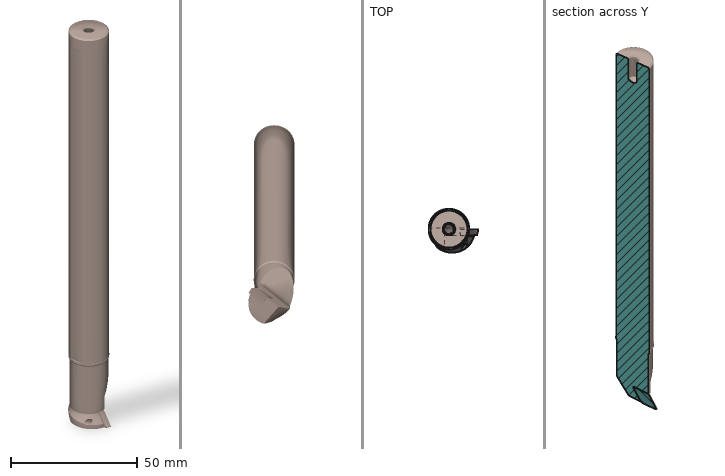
import cadquery as cq
import math


TOTAL_LENGTH = 180.0
SHANK_DIAMETER = 16.0
SHANK_RADIUS = SHANK_DIAMETER / 2
END_CHAMFER_WIDTH = 0.7
END_CHAMFER_HEIGHT = 0.5
FLAT_WIDTH = 5.5
FLAT_TOP_GAP = 5.2
SHANK_BOTTOM_Z = 29.5

BORE_DIAMETER = 4.0
BORE_DEPTH = 10.8
BORE_MOUTH_CHAMFER = 0.5
DRILL_POINT_ANGLE = 118.0

COLLAR_DIAMETER = 16.2
COLLAR_RADIUS = COLLAR_DIAMETER / 2
COLLAR_BOTTOM_Z = 28.6
NECK_RADIUS = 7.7
NECK_CHAMFER_HEIGHT = 0.5
NECK_CHAMFER_BOTTOM_Z = COLLAR_BOTTOM_Z - NECK_CHAMFER_HEIGHT

FLARE_TOP_Z = 6.1
FLARE_ANGLE = 33.0
HEAD_RADIUS = 9.0
HEAD_CENTER_X = 1.3
HEAD_CENTER_Y = -0.4

FACE_Y = 0.5
FACE_SLOPE_ANGLE = 30.0
FACE_SLOPE_BOTTOM_Z = 12.0
HEEL_X = -1.8
HEEL_Z = 0.9
HEEL_ANGLE = 53.0
FLANK_SETBACK = 0.7

INSERT_ANGLE = 55.0
INSERT_SIDE = 7.7
INSERT_THICKNESS = 2.3
INSERT_RELIEF_ANGLE = 7.0
NOSE_RADIUS = 0.4
NOSE_RIGHT_X = 11.7
END_EDGE_TILT = 3.0
SCREW_HOLE_DIAMETER = 2.2

END_SETBACK = INSERT_THICKNESS * math.tan(math.radians(INSERT_RELIEF_ANGLE))

CUT_SIZE = 54.0


def tilted(x, z, angle, length):
    """Point at a distance from (x, z), with the angle counted from -X toward +Z."""
    turn = math.radians(angle)
    return (x - length * math.cos(turn), z + length * math.sin(turn))


def xz_prism(points, y_from, y_to):
    """Prism along Y over an outline of (x, z) points."""
    outline = cq.Workplane("XZ", origin=(0, y_to, 0)).polyline(points).close()
    return outline.extrude(y_to - y_from)


TIP_X, TIP_Z = tilted(
    NOSE_RIGHT_X - NOSE_RADIUS,
    NOSE_RADIUS,
    END_EDGE_TILT + INSERT_ANGLE / 2,
    -NOSE_RADIUS / math.sin(math.radians(INSERT_ANGLE / 2)),
)


def make_insert_outline():
    """Rhombus corners in (x, z): tip, end corner, far corner, flank corner."""
    end_corner = tilted(TIP_X, TIP_Z, END_EDGE_TILT, INSERT_SIDE)
    flank_corner = tilted(TIP_X, TIP_Z, END_EDGE_TILT + INSERT_ANGLE, INSERT_SIDE)
    far_corner = tilted(*end_corner, END_EDGE_TILT + INSERT_ANGLE, INSERT_SIDE)
    return [(TIP_X, TIP_Z), end_corner, far_corner, flank_corner]


INSERT_OUTLINE = make_insert_outline()


def make_insert():
    """Rhombus whose top lies at y = 0 and whose sides draw in toward -Y."""
    plate = cq.Workplane("XZ").polyline(INSERT_OUTLINE).close()
    plate = plate.extrude(INSERT_THICKNESS, taper=INSERT_RELIEF_ANGLE)
    nose_edge = plate.faces("<Z").edges(">X")
    return nose_edge.fillet(NOSE_RADIUS)


def make_shank():
    """Cylinder with a chamfered top end."""
    length = TOTAL_LENGTH - SHANK_BOTTOM_Z
    shank = cq.Workplane(origin=(0, 0, SHANK_BOTTOM_Z)).circle(SHANK_RADIUS).extrude(length)
    return shank.faces(">Z").chamfer(END_CHAMFER_HEIGHT, END_CHAMFER_WIDTH)


def make_flat_cut():
    """Block that leaves a clamping flat on the -Y side of the shank."""
    flat_y = -math.sqrt(SHANK_RADIUS**2 - (FLAT_WIDTH / 2) ** 2)
    flat_top_z = TOTAL_LENGTH - FLAT_TOP_GAP
    corners = [
        (-SHANK_RADIUS, SHANK_BOTTOM_Z),
        (SHANK_RADIUS, SHANK_BOTTOM_Z),
        (SHANK_RADIUS, flat_top_z),
        (-SHANK_RADIUS, flat_top_z),
    ]
    return xz_prism(corners, -CUT_SIZE, flat_y)


def make_bore():
    """Drilled bore with a cone at its floor and a chamfered mouth."""
    radius = BORE_DIAMETER / 2
    point_height = radius / math.tan(math.radians(DRILL_POINT_ANGLE / 2))
    floor_z = TOTAL_LENGTH - BORE_DEPTH
    profile = [
        (0, TOTAL_LENGTH),
        (radius + BORE_MOUTH_CHAMFER, TOTAL_LENGTH),
        (radius, TOTAL_LENGTH - BORE_MOUTH_CHAMFER),
        (radius, floor_z),
        (0, floor_z - point_height),
    ]
    return cq.Workplane("XZ").polyline(profile).close().revolve(360, (0, 0), (0, 1))


def make_neck():
    """Neck and the collar above it."""
    profile = [
        (0, 0),
        (NECK_RADIUS, 0),
        (NECK_RADIUS, NECK_CHAMFER_BOTTOM_Z),
        (COLLAR_RADIUS, COLLAR_BOTTOM_Z),
        (COLLAR_RADIUS, SHANK_BOTTOM_Z),
        (0, SHANK_BOTTOM_Z),
    ]
    return cq.Workplane("XZ").polyline(profile).close().revolve(360, (0, 0), (0, 1))


def make_flank_cut():
    """Everything outside a line set back from the insert's flank edge."""
    edge_angle = END_EDGE_TILT + INSERT_ANGLE
    start_x = TIP_X - FLANK_SETBACK / math.sin(math.radians(edge_angle))
    low = tilted(start_x, TIP_Z, edge_angle, -CUT_SIZE)
    high = tilted(start_x, TIP_Z, edge_angle, CUT_SIZE)
    return xz_prism([low, high, (low[0], high[1])], -CUT_SIZE, CUT_SIZE)


def make_flare():
    """Cone that widens downward from the neck, trimmed by an offset cylinder and the flank."""
    bottom_radius = NECK_RADIUS + FLARE_TOP_Z * math.tan(math.radians(FLARE_ANGLE))
    profile = [(0, 0), (bottom_radius, 0), (NECK_RADIUS, FLARE_TOP_Z), (0, FLARE_TOP_Z)]
    cone = cq.Workplane("XZ").polyline(profile).close().revolve(360, (0, 0), (0, 1))
    trim = cq.Workplane().center(HEAD_CENTER_X, HEAD_CENTER_Y).circle(HEAD_RADIUS).extrude(FLARE_TOP_Z)
    return cone.intersect(trim).cut(make_flank_cut())


def make_face_cut():
    """Clears the +Y half of the head: a flat face that slopes out to the neck."""
    slope_height = CUT_SIZE / 2
    slope_y = FACE_Y + slope_height * math.tan(math.radians(FACE_SLOPE_ANGLE))
    profile = [
        (FACE_Y, -CUT_SIZE),
        (FACE_Y, FACE_SLOPE_BOTTOM_Z),
        (slope_y, FACE_SLOPE_BOTTOM_Z + slope_height),
        (slope_y, -CUT_SIZE),
    ]
    return cq.Workplane("YZ").polyline(profile).close().extrude(CUT_SIZE, both=True)


def make_heel_cut():
    """Slanted cut under the -X side of the head."""
    low = tilted(HEEL_X, HEEL_Z, HEEL_ANGLE, -CUT_SIZE)
    high = tilted(HEEL_X, HEEL_Z, HEEL_ANGLE, CUT_SIZE)
    return xz_prism([low, high, (high[0], low[1])], -CUT_SIZE, CUT_SIZE)


def make_end_cut():
    """Everything below a line set back from the insert's end edge."""
    start_z = TIP_Z + END_SETBACK / math.cos(math.radians(END_EDGE_TILT))
    right = tilted(TIP_X, start_z, END_EDGE_TILT, -CUT_SIZE)
    left = tilted(TIP_X, start_z, END_EDGE_TILT, CUT_SIZE)
    return xz_prism([right, left, (left[0], -CUT_SIZE), (right[0], -CUT_SIZE)], -CUT_SIZE, CUT_SIZE)


def make_screw_hole():
    """Hole from the insert seat out through the -Y side of the head."""
    center_x = (INSERT_OUTLINE[0][0] + INSERT_OUTLINE[2][0]) / 2
    center_z = (INSERT_OUTLINE[0][1] + INSERT_OUTLINE[2][1]) / 2
    seat = cq.Workplane("XZ", origin=(center_x, -INSERT_THICKNESS, center_z))
    return seat.circle(SCREW_HOLE_DIAMETER / 2).extrude(CUT_SIZE)


def make_bar(insert):
    """Shank, neck and head in one piece, with a seat that fits the insert."""
    bar = make_shank().cut(make_flat_cut()).cut(make_bore())
    bar = bar.union(make_neck()).union(make_flare())
    bar = bar.cut(make_face_cut()).cut(make_heel_cut()).cut(make_end_cut())
    bar = bar.cut(make_screw_hole())
    return bar.cut(xz_prism(INSERT_OUTLINE, 0, FACE_Y)).cut(insert)


insert = make_insert()
bar = make_bar(insert)
result = cq.Compound.makeCompound([bar.val(), insert.val()])